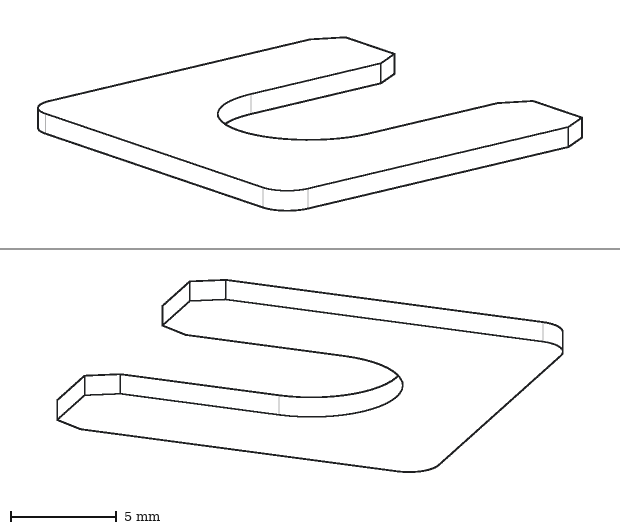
import cadquery as cq

side = 19.05
thickness = 1.0
corner_radius = 1.5

slot_width = 8.61
slot_radius = slot_width / 2

tip_length = 1.5
tip_inset = 0.8

half_side = side / 2
taper_start = half_side - tip_length

outline = (
    cq.Workplane("XY")
    .moveTo(-half_side, -half_side)
    .lineTo(half_side, -half_side)
    .lineTo(half_side, taper_start)
    .lineTo(half_side - tip_inset, half_side)
    .lineTo(slot_radius + tip_inset, half_side)
    .lineTo(slot_radius, taper_start)
    .lineTo(slot_radius, 0)
    .threePointArc((0, -slot_radius), (-slot_radius, 0))
    .lineTo(-slot_radius, taper_start)
    .lineTo(-slot_radius - tip_inset, half_side)
    .lineTo(-half_side + tip_inset, half_side)
    .lineTo(-half_side, taper_start)
    .close()
)
plate = outline.extrude(thickness)

result = plate.edges("|Z and <Y").fillet(corner_radius)